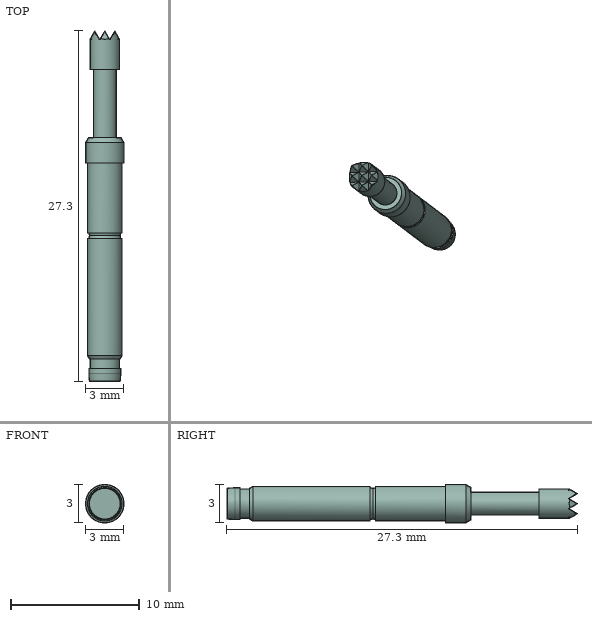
import cadquery as cq
import math


head_diameter = 2.3
plunger_diameter = 1.8
collar_diameter = 3.0
barrel_diameter = 2.7
groove_wall_diameter = 2.5
groove_apex_diameter = 2.4
neck_diameter = 2.3
tail_diameter = 2.5
tail_end_diameter = 2.4

overall_length = 27.3
head_length = 3.0
plunger_length = 5.3
collar_length = 2.0
groove_distance = 5.45
groove_width = 0.4
groove_apex_distance = 0.17
barrel_length = 15.25
neck_length = 0.75
tail_land_length = 0.4

chamfer_angle = 30.0
collar_chamfer_length = 0.4
barrel_chamfer_length = 0.25

points_per_side = 3
point_pitch = 0.78
serration_angle = 60.0

collar_top = collar_length
head_bottom = collar_top + plunger_length
head_top = head_bottom + head_length
tail_end = head_top - overall_length
groove_top = -groove_distance
groove_apex = groove_top - groove_apex_distance
groove_bottom = groove_top - groove_width
barrel_end = -barrel_length
tail_top = barrel_end - neck_length
tail_land_end = tail_top - tail_land_length


def cylinder(diameter, bottom, top):
    """Solid cylinder on the Y axis between two stations."""
    return (
        cq.Workplane("XZ", origin=(0, top, 0))
        .circle(diameter / 2)
        .extrude(top - bottom)
    )


def revolve_about_axis(profile):
    """Close a half profile drawn at X >= 0 and turn it about the Y axis."""
    return profile.close().revolve(360, (0, 0, 0), (0, 1, 0))


def chamfer_depth(chamfer_length):
    """Radial depth of a chamfer of the given axial length."""
    return chamfer_length * math.tan(math.radians(chamfer_angle))


def make_collar():
    """Press ring with a slim lead-in cone on the plunger side."""
    radius = collar_diameter / 2
    profile = (
        cq.Workplane("XY")
        .lineTo(radius, 0)
        .lineTo(radius, collar_top - collar_chamfer_length)
        .lineTo(radius - chamfer_depth(collar_chamfer_length), collar_top)
        .lineTo(0, collar_top)
    )
    return revolve_about_axis(profile)


def make_barrel():
    """Barrel with a shallow V-bottomed ring groove and a chamfer at its tail end."""
    radius = barrel_diameter / 2
    groove_wall_radius = groove_wall_diameter / 2
    profile = (
        cq.Workplane("XY")
        .lineTo(radius, 0)
        .lineTo(radius, groove_top)
        .lineTo(groove_wall_radius, groove_top)
        .lineTo(groove_apex_diameter / 2, groove_apex)
        .lineTo(groove_wall_radius, groove_bottom)
        .lineTo(radius, groove_bottom)
        .lineTo(radius, barrel_end + barrel_chamfer_length)
        .lineTo(radius - chamfer_depth(barrel_chamfer_length), barrel_end)
        .lineTo(0, barrel_end)
    )
    return revolve_about_axis(profile)


def make_tail():
    """Tail button: straight land, then an arc that leaves it tangentially and narrows to the end."""
    radius = tail_diameter / 2
    profile = (
        cq.Workplane("XY")
        .moveTo(0, tail_top)
        .lineTo(radius, tail_top)
        .lineTo(radius, tail_land_end)
        .tangentArcPoint((tail_end_diameter / 2, tail_end), relative=False)
        .lineTo(0, tail_end)
    )
    return revolve_about_axis(profile)


def make_head():
    """Crown head: crossed rows of V-grooves leave a grid of sharp points."""
    head = cylinder(head_diameter, head_bottom, head_top)
    half_pitch = point_pitch / 2
    groove_depth = half_pitch / math.tan(math.radians(serration_angle / 2))
    for row in range(points_per_side + 1):
        offset = (row - points_per_side / 2) * point_pitch
        v_groove = (
            cq.Workplane("XY")
            .moveTo(offset - half_pitch, head_top)
            .lineTo(offset, head_top - groove_depth)
            .lineTo(offset + half_pitch, head_top)
            .close()
            .extrude(head_diameter, both=True)
        )
        crossing_groove = v_groove.rotate((0, 0, 0), (0, 1, 0), 90)
        head = head.cut(v_groove).cut(crossing_groove)
    return head


plunger = cylinder(plunger_diameter, collar_top, head_bottom)
neck = cylinder(neck_diameter, tail_top, barrel_end)

result = (
    make_barrel()
    .union(make_collar())
    .union(plunger)
    .union(make_head())
    .union(neck)
    .union(make_tail())
)